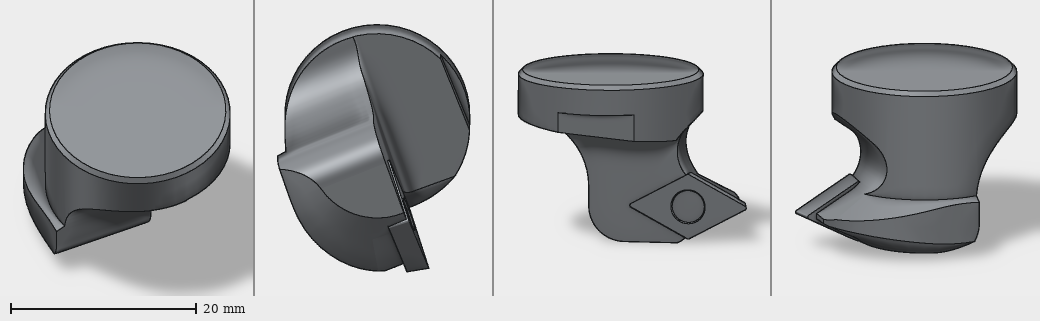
import cadquery as cq
import math


shank_radius = 10.0
height = 18.8
top_chamfer = 0.47

cone_slope = math.tan(math.radians(28.5))
shank_end_z = 6.71
foot_bottom_radius = 7.34
foot_left_x = -13.3
foot_corner_y = -4.48
foot_flank_points = [(-9.85, -8.93), (-5.22, -10.77)]
foot_front_point = (-0.62, -10.82)

heel_x = 2.35
heel_y = -10.67
heel_radius = 3.88
scallop_radius = 7.65
scallop_z = 6.07

insert_yaw = 2.5
wall_y = 0.42
ceiling_z = 12.98
ceiling_tilt = 5.0
ceiling_fillet = 0.75
flat_y = 9.08
flat_top_z = 15.55

insert_center_z = 4.03
relief_half_land = 0.37
notch_radius = 3.98
notch_bottom_x = -7.3
notch_upper_angle = 46.0
notch_tilt = 1.3
lower_relief_bend_x = -9.33
lower_relief_end_x = -7.45

insert_tip_x = -15.12
insert_center_x = -8.5
insert_thickness = 2.36
insert_proud = 0.2
insert_corner_radius = 0.239
insert_half_angle = 28.5
insert_draft = 4.8
screw_hole_diameter = 2.8
countersink_diameter = 3.73
countersink_angle = 60.0

reach = 2 * shank_radius


def along_y(outline_xz):
    """Extrude an XZ outline right through the part along Y."""
    return outline_xz.extrude(reach, both=True)


def yawed(shape):
    """Turn a shape about the shank axis into the insert's direction."""
    return shape.rotate((0, 0, 0), (0, 0, 1), insert_yaw)


def make_turned_blank():
    apex_radius = (shank_end_z / cone_slope + shank_radius + foot_bottom_radius) / 2
    apex_z = (apex_radius - foot_bottom_radius) * cone_slope
    return (
        cq.Workplane("XZ")
        .polyline([
            (0, 0),
            (foot_bottom_radius, 0),
            (apex_radius, apex_z),
            (shank_radius, shank_end_z),
            (shank_radius, height - top_chamfer),
            (shank_radius - top_chamfer, height),
            (0, height),
        ])
        .close()
        .revolve(360, (0, 0, 0), (0, 1, 0))
    )


def make_trim():
    """Foot outline up to the shank, and unlimited space above it."""
    foot = (
        cq.Workplane("XY")
        .moveTo(foot_left_x, reach)
        .lineTo(foot_left_x, foot_corner_y)
        .spline([*foot_flank_points, foot_front_point, (heel_x, heel_y)], includeCurrent=True)
        .lineTo(reach, heel_y)
        .lineTo(reach, reach)
        .close()
        .extrude(shank_end_z)
    )
    shank_space = cq.Workplane("XY", origin=(0, 0, shank_end_z)).circle(reach).extrude(height)
    return foot.union(shank_space)


def make_heel_cut():
    scallop_x = heel_x + scallop_radius
    diagonal = math.sqrt(0.5)
    heel_center_x = heel_x - heel_radius
    return along_y(
        cq.Workplane("XZ")
        .moveTo(heel_center_x, 0)
        .threePointArc(
            (heel_center_x + heel_radius * diagonal, heel_radius * (1 - diagonal)),
            (heel_x, heel_radius),
        )
        .lineTo(heel_x, scallop_z)
        .threePointArc(
            (scallop_x - scallop_radius * diagonal, scallop_z + scallop_radius * diagonal),
            (scallop_x, scallop_z + scallop_radius),
        )
        .lineTo(reach, scallop_z + scallop_radius)
        .lineTo(reach, -0.25)
        .lineTo(heel_center_x, -0.25)
        .close()
    )


def make_rear_cut():
    block = (
        cq.Workplane("XY")
        .box(2 * reach, reach, reach, centered=(True, False, False))
        .edges("<Y and >Z")
        .fillet(ceiling_fillet)
        .translate((0, wall_y, -reach))
        .rotate((0, 0, 0), (0, 1, 0), -ceiling_tilt)
        .translate((0, 0, ceiling_z))
    )
    return yawed(block)


def make_rear_flat():
    return (
        cq.Workplane("XY")
        .box(2 * reach, reach, flat_top_z, centered=(True, False, False))
        .translate((0, flat_y, 0))
    )


def make_notch():
    """Relief above the insert: flat flank, round bottom, steep upper flank."""
    center_x = notch_bottom_x - notch_radius
    land_z = insert_center_z + relief_half_land
    cone_angle = math.atan(cone_slope)
    center_z = land_z + (center_x - foot_left_x) * cone_slope + notch_radius / math.cos(cone_angle)
    upper_angle = math.radians(notch_upper_angle)
    lower_end = (
        center_x + notch_radius * math.sin(cone_angle),
        center_z - notch_radius * math.cos(cone_angle),
    )
    upper_end = (
        center_x + notch_radius * math.sin(upper_angle),
        center_z + notch_radius * math.cos(upper_angle),
    )
    notch = along_y(
        cq.Workplane("XZ")
        .moveTo(-reach, land_z + (-reach - foot_left_x) * cone_slope)
        .lineTo(*lower_end)
        .threePointArc((notch_bottom_x, center_z), upper_end)
        .lineTo(-reach, upper_end[1] + (upper_end[0] + reach) * math.tan(upper_angle))
        .close()
    )
    tilted = notch.rotate((0, 0, center_z), (1, 0, center_z), notch_tilt)
    return yawed(tilted)


def make_lower_relief():
    land_z = insert_center_z - relief_half_land
    relief = along_y(
        cq.Workplane("XZ")
        .polyline([
            (-reach, land_z + (foot_left_x + reach) * cone_slope),
            (lower_relief_bend_x, land_z - (lower_relief_bend_x - foot_left_x) * cone_slope),
            (lower_relief_end_x, 0),
            (-reach, 0),
        ])
        .close()
    )
    return yawed(relief)


def make_insert():
    """Rhombic plate with sides that draw in towards its seat and a countersunk screw hole."""
    half_length = insert_center_x - insert_tip_x
    half_height = half_length * math.tan(math.radians(insert_half_angle))
    face_y = wall_y + insert_proud
    plate = (
        cq.Workplane("XZ", origin=(insert_center_x, face_y, insert_center_z))
        .polyline([
            (-half_length, 0),
            (0, half_height),
            (half_length, 0),
            (0, -half_height),
        ])
        .close()
        .extrude(insert_thickness, taper=insert_draft)
    )
    corner_edges = plate.edges("not #Y")
    plate = corner_edges.fillet(insert_corner_radius)
    drilled = (
        plate.faces(">Y")
        .workplane(origin=(insert_center_x, face_y, insert_center_z))
        .cskHole(screw_hole_diameter, countersink_diameter, countersink_angle)
    )
    return yawed(drilled)


insert = make_insert()
holder = (
    make_turned_blank()
    .intersect(make_trim())
    .cut(make_heel_cut())
    .cut(make_rear_cut())
    .cut(make_rear_flat())
    .cut(make_notch())
    .cut(make_lower_relief())
    .cut(insert)
)

result = cq.Compound.makeCompound([holder.val(), insert.val()])